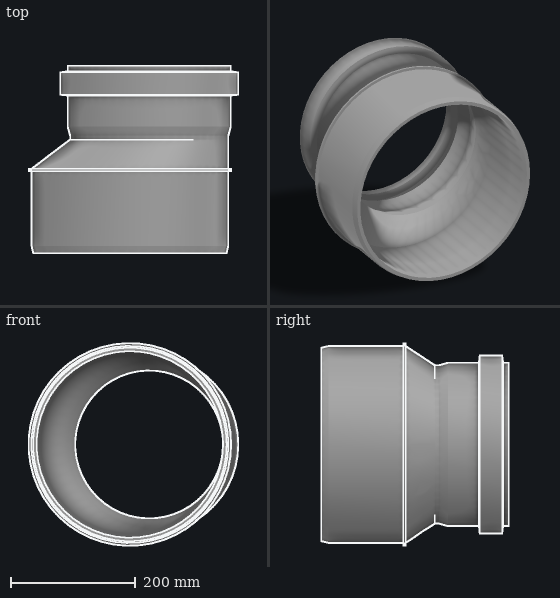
import cadquery as cq


spigot_outer = 315.5
spigot_bore = 298.5
spigot_tip = 309.8
flange_outer = 324.5

neck_outer = 253.7
neck_bore = 236.2
socket_outer = 261.7
socket_wall = 5.55
socket_bore = socket_outer - 2 * socket_wall
collar_outer = 285.5
groove_diameter = collar_outer - 2 * socket_wall

socket_offset = (spigot_outer - neck_outer) / 2

tip_taper_end = 12.0
flange_start = 131.7
flange_end = 135.0
neck_start = 182.0
neck_end = 188.5
socket_start = 202.5
collar_start = 252.5
collar_end = 291.3
total_length = 300.5

bore_lead = 4.5
bore_cone_start = flange_end - bore_lead
throat_start = neck_start - bore_lead
throat_end = neck_start
socket_bore_start = 215.0

collar_front_slope = 1.5
collar_back_slope = 1.7


def revolved(stations, axis_x):
    """Solid of revolution about a Y-parallel axis, from (diameter, y) stations."""
    rim = [(diameter / 2, y) for diameter, y in stations]
    outline = [(0, rim[0][1])] + rim + [(0, rim[-1][1])]
    body = cq.Workplane("XY").polyline(outline).close().revolve(360, (0, 0), (0, 1))
    return body.translate((axis_x, 0, 0))


def oblique_cone(start_diameter, end_diameter, start_y, end_y):
    """Cone from the spigot axis at start_y to the socket axis at end_y."""
    return (
        cq.Workplane("XZ", origin=(0, start_y, 0))
        .circle(start_diameter / 2)
        .workplane(offset=start_y - end_y)
        .center(socket_offset, 0)
        .circle(end_diameter / 2)
        .loft(ruled=True)
    )


def outer_body():
    spigot = revolved(
        [
            (spigot_tip, 0),
            (spigot_outer, tip_taper_end),
            (spigot_outer, flange_start),
            (flange_outer, flange_start),
            (flange_outer, flange_end),
        ],
        0,
    )
    socket = revolved(
        [
            (neck_outer, neck_start),
            (neck_outer, neck_end),
            (socket_outer, socket_start),
            (socket_outer, collar_start),
            (collar_outer, collar_start + collar_front_slope),
            (collar_outer, collar_end - collar_back_slope),
            (socket_outer, collar_end),
            (socket_outer, total_length),
        ],
        socket_offset,
    )
    cone = oblique_cone(spigot_outer, neck_outer, flange_end, neck_start)
    return spigot.union(cone).union(socket)


def inner_passage():
    spigot = revolved([(spigot_bore, 0), (spigot_bore, bore_cone_start)], 0)
    socket = revolved(
        [
            (neck_bore, throat_start),
            (neck_bore, throat_end),
            (socket_bore, socket_bore_start),
            (socket_bore, collar_start + socket_wall),
            (groove_diameter, collar_start + socket_wall + collar_front_slope),
            (groove_diameter, collar_end - socket_wall - collar_back_slope),
            (socket_bore, collar_end - socket_wall),
            (socket_bore, total_length),
        ],
        socket_offset,
    )
    cone = oblique_cone(spigot_bore, neck_bore, bore_cone_start, throat_start)
    return spigot.union(cone).union(socket)


result = outer_body().cut(inner_passage())